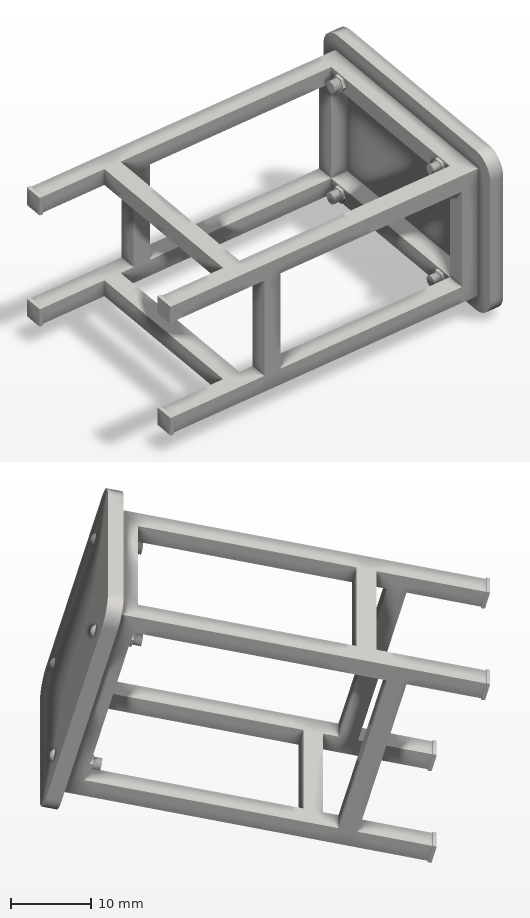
import cadquery as cq
import math


OVERALL_LENGTH = 50.15

SEAT_LENGTH = 35.0
SEAT_WIDTH = 25.0
SEAT_THICKNESS = 2.0
SEAT_CORNER_RADIUS = 3.0

FRAME_LENGTH = 30.0
FRAME_WIDTH = 20.0
BAR = 2.5
LONG_STRETCHER_DISTANCE = 35.05
SHORT_STRETCHER_DISTANCE = 30.55

FOOT_SIDE = 2.75
FOOT_THICKNESS = 0.5
FOOT_FILLET = 0.1

BOLT_DIAMETER = 1.65
BOLT_SPACING = 21.0
DOME_HEIGHT = 0.5
COLLAR_ACROSS_FLATS = 2.0
COLLAR_THICKNESS = 0.4
THREAD_LENGTH = 1.15
THREAD_DEPTH = 0.1
THREAD_COUNT = 5

LEG_LENGTH = OVERALL_LENGTH - DOME_HEIGHT - SEAT_THICKNESS - FOOT_THICKNESS
LEG_X = (FRAME_LENGTH - BAR) / 2
LEG_Z = (FRAME_WIDTH - BAR) / 2
LEG_CENTRES = [(x, z) for x in (-LEG_X, LEG_X) for z in (-LEG_Z, LEG_Z)]
BOLT_X = BOLT_SPACING / 2
BOLT_CENTRES = [(x, z) for x in (-BOLT_X, BOLT_X) for z in (-LEG_Z, LEG_Z)]


def block_below(length, height, start, depth):
    """Block centred on the Y axis, running from start towards -Y."""
    return cq.Workplane("XZ", origin=(0, start, 0)).rect(length, height).extrude(depth)


def bolt_holes():
    """Straight bores for the four bolts through the top rails and the seat."""
    return (
        cq.Workplane("XZ", origin=(0, SEAT_THICKNESS, 0))
        .pushPoints(BOLT_CENTRES)
        .circle(BOLT_DIAMETER / 2)
        .extrude(SEAT_THICKNESS + BAR)
    )


def make_seat():
    """Rounded rectangular board."""
    board = block_below(SEAT_LENGTH, SEAT_WIDTH, SEAT_THICKNESS, SEAT_THICKNESS)
    return board.edges("|Y").fillet(SEAT_CORNER_RADIUS).cut(bolt_holes())


def make_frame():
    """Four legs, a rectangular rail under the seat and two pairs of stretchers."""
    inner_length = FRAME_LENGTH - 2 * BAR
    inner_width = FRAME_WIDTH - 2 * BAR
    frame = block_below(FRAME_LENGTH, FRAME_WIDTH, 0, BAR)
    frame = frame.cut(block_below(inner_length, inner_width, 0, BAR))
    for x, z in LEG_CENTRES:
        frame = frame.union(block_below(BAR, BAR, 0, LEG_LENGTH).translate((x, 0, z)))
    for side in (-1, 1):
        long_stretcher = block_below(FRAME_LENGTH, BAR, -LONG_STRETCHER_DISTANCE, BAR)
        short_stretcher = block_below(BAR, FRAME_WIDTH, -SHORT_STRETCHER_DISTANCE, BAR)
        frame = frame.union(long_stretcher.translate((0, 0, side * LEG_Z)))
        frame = frame.union(short_stretcher.translate((side * LEG_X, 0, 0)))
    return frame.cut(bolt_holes())


def make_foot(x, z):
    """Square pad on the end of one leg, a little wider than the leg, its two Z edges rounded off."""
    pad = block_below(FOOT_SIDE, FOOT_SIDE, -LEG_LENGTH, FOOT_THICKNESS)
    return pad.faces("<Y").edges("|Z").fillet(FOOT_FILLET).translate((x, 0, z))


def make_bolt(x, z):
    """Bolt with a domed end above the seat and a hexagonal collar and thread below the rail."""
    radius = BOLT_DIAMETER / 2
    thread_start = -BAR - COLLAR_THICKNESS
    pitch = THREAD_LENGTH / THREAD_COUNT

    dome_radius = (radius**2 + DOME_HEIGHT**2) / (2 * DOME_HEIGHT)
    half_angle = math.asin(radius / dome_radius) / 2
    dome_centre = SEAT_THICKNESS + DOME_HEIGHT - dome_radius
    dome_middle = (
        dome_radius * math.sin(half_angle),
        dome_centre + dome_radius * math.cos(half_angle),
    )
    profile = (
        cq.Workplane("XY")
        .moveTo(0, SEAT_THICKNESS + DOME_HEIGHT)
        .threePointArc(dome_middle, (radius, SEAT_THICKNESS))
        .lineTo(radius, thread_start)
    )
    for ring in range(THREAD_COUNT):
        profile = profile.lineTo(radius - THREAD_DEPTH, thread_start - (ring + 0.5) * pitch)
        profile = profile.lineTo(radius, thread_start - (ring + 1) * pitch)
    shank = profile.lineTo(0, thread_start - THREAD_LENGTH).close().revolve(360, (0, 0), (0, 1))

    across_corners = COLLAR_ACROSS_FLATS / math.cos(math.pi / 6)
    under_rail = cq.Workplane("XZ", origin=(0, -BAR, 0))
    collar = under_rail.polygon(6, across_corners).extrude(COLLAR_THICKNESS)
    return shank.union(collar).translate((x, 0, z))


seat = make_seat()
frame = make_frame()
feet = [make_foot(x, z) for x, z in LEG_CENTRES]
bolts = [make_bolt(x, z) for x, z in BOLT_CENTRES]

result = cq.Compound.makeCompound(
    [seat.val(), frame.val(), *[foot.val() for foot in feet], *[bolt.val() for bolt in bolts]]
)